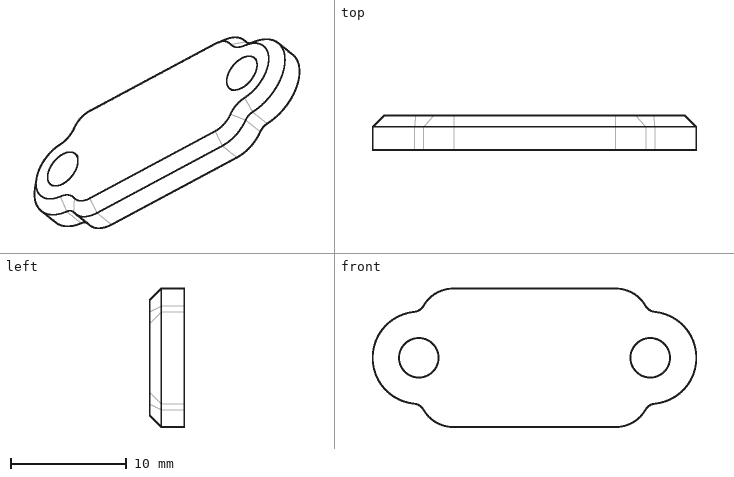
import cadquery as cq

thickness = 3.0
hole_spacing = 20.0
hole_diameter = 3.4
ear_radius = 4.0
body_length = hole_spacing
body_height = 12.0
corner_radius = 3.0
notch_radius = 1.0
edge_chamfer = 1.0

hole_centers = [(-hole_spacing / 2, 0), (hole_spacing / 2, 0)]


def front_sketch():
    """XZ sketch plane shifted so that extruding fills Y from 0 to the thickness."""
    return cq.Workplane("XZ", origin=(0, thickness, 0))


def make_body():
    """Rectangular plate with rounded corners."""
    plate = front_sketch().rect(body_length, body_height).extrude(thickness)
    return plate.edges("|Y").fillet(corner_radius)


def make_ears():
    """Round ears concentric with the screw holes."""
    return front_sketch().pushPoints(hole_centers).circle(ear_radius).extrude(thickness)


def blend_notches(plate):
    """Round the four inside corners where the ears meet the body corners."""
    reach = notch_radius / 2
    corner_x = hole_spacing / 2
    corner_z = ear_radius
    for side_x in (-1, 1):
        for side_z in (-1, 1):
            low = (side_x * corner_x - reach, -reach, side_z * corner_z - reach)
            high = (side_x * corner_x + reach, thickness + reach, side_z * corner_z + reach)
            notch_edge = plate.edges("|Y").edges(cq.selectors.BoxSelector(low, high))
            plate = notch_edge.fillet(notch_radius)
    return plate


def make_holes():
    """Through holes for the screws."""
    return front_sketch().pushPoints(hole_centers).circle(hole_diameter / 2).extrude(thickness)


plate = blend_notches(make_body().union(make_ears()))
plate = plate.faces(">Y").chamfer(edge_chamfer)
result = plate.cut(make_holes())